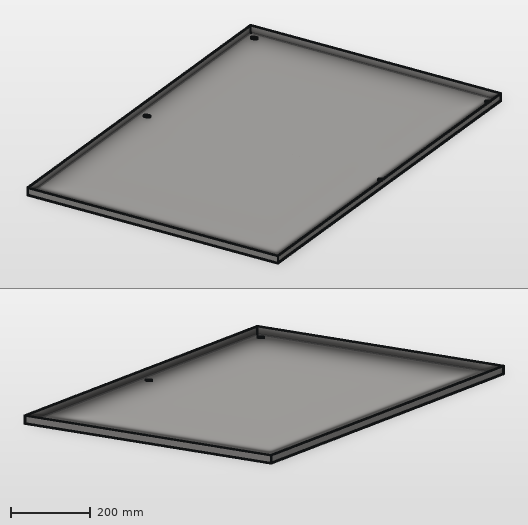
import cadquery as cq

width = 739.0
length = 1078.0
height = 22.0

sheet = 1.0
bend_radius = 1.6
inner_bend_radius = bend_radius - sheet
slit_gap = 0.5

slot_length = 17.0
slot_width = 12.0
slot_side_distance = 24.0
slot_end_distance = 22.0


def rounded_block(x_size, y_size, bottom, radius):
    """Block reaching the tray rim, with its lower edges rounded."""
    block = cq.Workplane("XY").workplane(offset=bottom).rect(x_size, y_size).extrude(height - bottom)
    return block.faces("<Z").edges().fillet(radius)


def folded_tray():
    """Floor with four upright walls, open at the top."""
    outer = rounded_block(width, length, 0, bend_radius)
    inner = rounded_block(width - 2 * sheet, length - 2 * sheet, sheet, inner_bend_radius)
    return outer.cut(inner)


def corner_slits():
    """Gaps above the bends that part the side walls from the full-width end walls."""
    slit_x = (width - sheet) / 2
    slit_y = length / 2 - sheet - slit_gap / 2
    return (
        cq.Workplane("XY")
        .workplane(offset=bend_radius)
        .rect(2 * slit_x, 2 * slit_y, forConstruction=True)
        .vertices()
        .rect(sheet, slit_gap)
        .extrude(height - bend_radius)
    )


def mounting_slots():
    """Three slots along each long side, at the ends and the middle."""
    slot_x = width / 2 - slot_side_distance
    slot_y = length / 2 - slot_end_distance
    return (
        cq.Workplane("XY")
        .pushPoints([(x, y) for x in (-slot_x, slot_x) for y in (-slot_y, 0, slot_y)])
        .slot2D(slot_length, slot_width)
        .extrude(sheet)
    )


result = folded_tray().cut(corner_slits()).cut(mounting_slots())